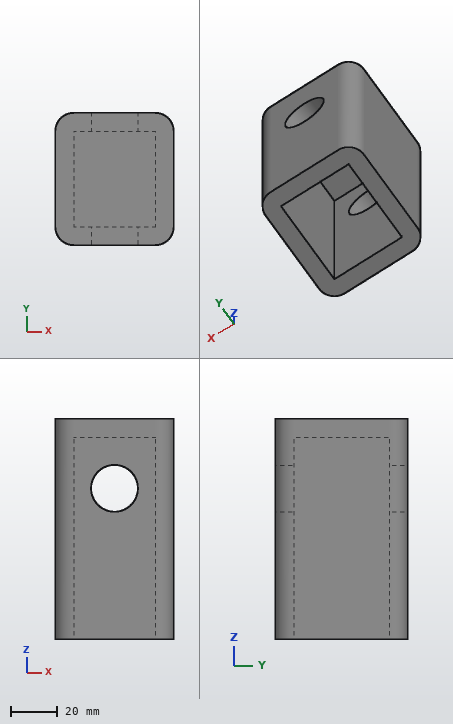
import cadquery as cq

width = 51.0
depth = 57.0
height = 95.0

wall = 8.0
corner_radius = wall

hole_diameter = 20.0
hole_below_top = 30.0

block = (
    cq.Workplane("XY")
    .box(width, depth, height, centered=(True, True, False))
    .edges("|Z")
    .fillet(corner_radius)
)

cavity = cq.Workplane("XY").box(
    width - 2 * wall,
    depth - 2 * wall,
    height - wall,
    centered=(True, True, False),
)

hole = (
    cq.Workplane("XZ")
    .center(0, height - hole_below_top)
    .circle(hole_diameter / 2)
    .extrude(depth, both=True)
)

result = block.cut(cavity).cut(hole)